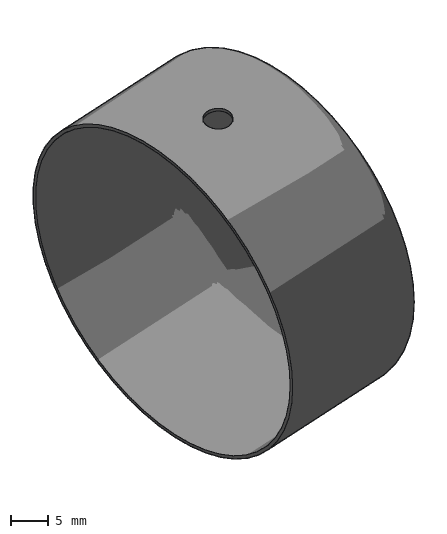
import cadquery as cq
import math

outer_radius = 25.45
total_depth = 28.0
skirt_depth = 20.95
corner_radius = 3.0
wall = 0.5
hole_diameter = 4.0
hole_from_rim = 10.1

corner_center_x = outer_radius - corner_radius
crown_rise = total_depth - skirt_depth
dome_radius = (corner_center_x**2 + crown_rise**2 - corner_radius**2) / (2 * (crown_rise - corner_radius))
dome_center_y = total_depth - dome_radius
tangent_angle = math.asin(corner_center_x / (dome_radius - corner_radius))


def dome_point(radius, angle):
    return (radius * math.sin(angle), dome_center_y + radius * math.cos(angle))


def corner_point(radius, angle):
    return (corner_center_x + radius * math.sin(angle), skirt_depth + radius * math.cos(angle))


def cap_solid(inset):
    """Solid of revolution about Y, with the cap's outside surface moved inward by inset."""
    dome = dome_radius - inset
    corner = corner_radius - inset
    corner_middle_angle = (tangent_angle + math.pi / 2) / 2
    return (
        cq.Workplane("XY")
        .lineTo(outer_radius - inset, 0)
        .lineTo(outer_radius - inset, skirt_depth)
        .threePointArc(corner_point(corner, corner_middle_angle), dome_point(dome, tangent_angle))
        .threePointArc(dome_point(dome, tangent_angle / 2), (0, total_depth - inset))
        .close()
        .revolve(360, (0, 0, 0), (0, 1, 0))
    )


shell = cap_solid(0).cut(cap_solid(wall))

side_hole = (
    cq.Workplane("XY")
    .center(0, hole_from_rim)
    .circle(hole_diameter / 2)
    .extrude(outer_radius + wall)
)

result = shell.cut(side_hole)